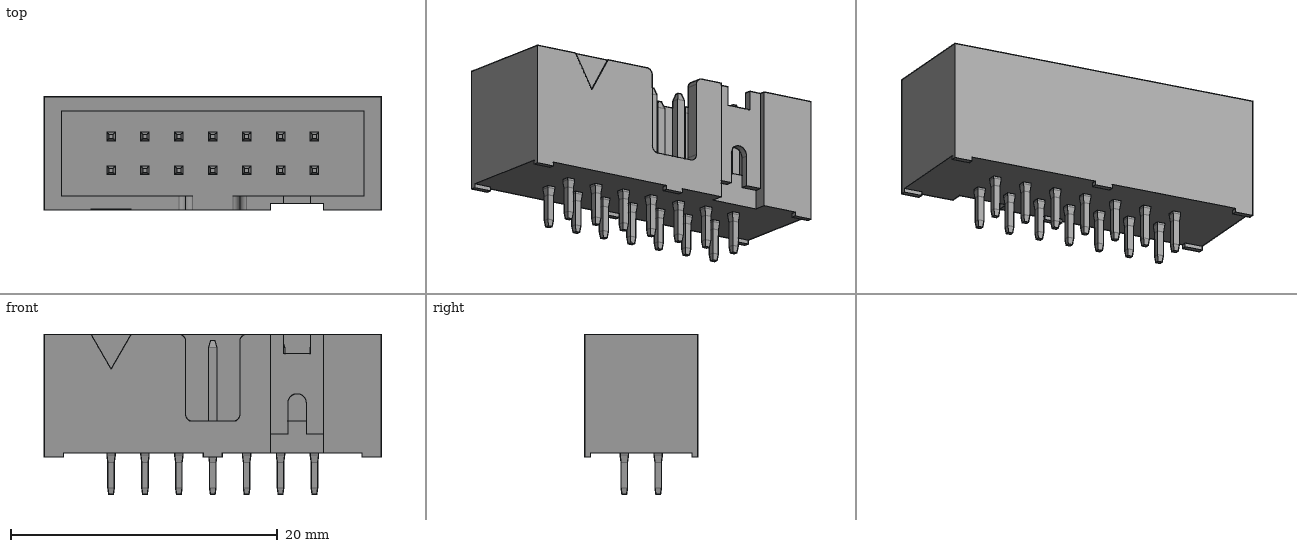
import cadquery as cq
import math


length = 25.28
width = 8.5
foot_height = 0.3
shroud_top = 9.2
end_wall = 1.3
side_wall = 1.07
cavity_depth = 6.5
floor_z = shroud_top - cavity_depth
front_y = -width / 2

foot_length = 1.46
foot_width = 0.45

pin_pitch = 2.54
pin_columns = 7
pin_rows = 2
contact_size = 0.64
contact_tip_size = 0.3
contact_tip_length = 0.55
contact_top = shroud_top - 0.45
collar_z = 0.15
collar_taper = 0.55
tail_size = 0.5
tail_tip_size = 0.36
tail_tip_length = 0.5
tail_length = 2.8

key_width = 4.07
key_radius = 0.5

mark_side = 3.0
mark_height = mark_side * math.sqrt(3) / 2
mark_depth = 0.1
mark_x = -pin_pitch * (pin_columns - 1) / 2

latch_x = 6.32
latch_width = 3.96
latch_depth = 0.48
latch_notch_width = 2.0
latch_notch_depth = 1.45
latch_step_z = 1.75
latch_arch_width = 1.38
latch_arch_top = 4.75


def block(x_size, y_size, z_low, z_high, x=0.0, y=0.0):
    """Box centred on (x, y) between two heights."""
    solid = cq.Workplane("XY").box(x_size, y_size, z_high - z_low, centered=(True, True, False))
    return solid.translate((x, y, z_low))


def front_cutter(x_size, depth, z_low, z_high, x):
    """Box that reaches the given depth into the front face."""
    return block(x_size, depth, z_low, z_high, x, front_y + depth / 2)


def front_sketch():
    """Sketch plane on the front face; extruding by a negative length goes into the wall."""
    return cq.Workplane("XZ", origin=(0, front_y, 0))


def make_shroud():
    shroud = block(length, width, foot_height, shroud_top)
    cavity = block(length - 2 * end_wall, width - 2 * side_wall, floor_z, shroud_top)
    return shroud.cut(cavity)


def add_feet(body):
    end_x = (length - foot_length) / 2
    edge_y = (width - foot_width) / 2
    for x in (-end_x, 0, end_x):
        for y in (-edge_y, edge_y):
            body = body.union(block(foot_length, foot_width, 0, foot_height, x, y))
    return body


def key_slot():
    """Slot down to the cavity floor, rounded at its mouth and at its bottom corners."""
    half = key_width / 2
    r = key_radius
    slot = (
        front_sketch()
        .moveTo(-half - r, shroud_top)
        .radiusArc((-half, shroud_top - r), r)
        .lineTo(-half, floor_z + r)
        .radiusArc((-half + r, floor_z), -r)
        .lineTo(half - r, floor_z)
        .radiusArc((half, floor_z + r), -r)
        .lineTo(half, shroud_top - r)
        .radiusArc((half + r, shroud_top), r)
        .close()
    )
    return slot.extrude(-side_wall)


def pin_one_mark():
    half = mark_side / 2
    triangle = front_sketch().polyline([
        (mark_x - half, shroud_top),
        (mark_x + half, shroud_top),
        (mark_x, shroud_top - mark_height),
    ])
    return triangle.close().extrude(-mark_depth)


def latch_recess():
    """Full-height recess with a top notch, a deeper foot step and an arched window."""
    recess = front_cutter(latch_width, latch_depth, foot_height, shroud_top, latch_x)
    notch_z = shroud_top - latch_notch_depth
    notch = front_cutter(latch_notch_width, side_wall, notch_z, shroud_top, latch_x)
    step = front_cutter(latch_width, side_wall, foot_height, latch_step_z, latch_x)
    arch_radius = latch_arch_width / 2
    arch_z = latch_arch_top - arch_radius
    window = front_cutter(latch_arch_width, side_wall, latch_step_z, arch_z, latch_x)
    arch = front_sketch().center(latch_x, arch_z).circle(arch_radius).extrude(-side_wall)
    return recess.union(notch).union(step).union(window).union(arch)


def taper(size_low, size_high, z_low, z_high):
    """Square frustum between two heights."""
    return (
        cq.Workplane("XY", origin=(0, 0, z_low))
        .rect(size_low, size_low)
        .workplane(offset=z_high - z_low)
        .rect(size_high, size_high)
        .loft(ruled=True)
    )


def make_pin():
    shoulder_z = contact_top - contact_tip_length
    tail_z = collar_z - collar_taper
    tail_tip_z = tail_tip_length - tail_length
    pin = block(contact_size, contact_size, collar_z, shoulder_z)
    pin = pin.union(taper(contact_size, contact_tip_size, shoulder_z, contact_top))
    pin = pin.union(taper(tail_size, contact_size, tail_z, collar_z))
    pin = pin.union(block(tail_size, tail_size, tail_tip_z, tail_z))
    return pin.union(taper(tail_tip_size, tail_size, -tail_length, tail_tip_z))


def add_pins(body):
    pin = make_pin()
    for column in range(pin_columns):
        for row in range(pin_rows):
            x = (column - (pin_columns - 1) / 2) * pin_pitch
            y = (row - (pin_rows - 1) / 2) * pin_pitch
            body = body.union(pin.translate((x, y, 0)))
    return body


result = add_feet(make_shroud())
result = result.cut(key_slot())
result = result.cut(pin_one_mark())
result = result.cut(latch_recess())
result = add_pins(result)